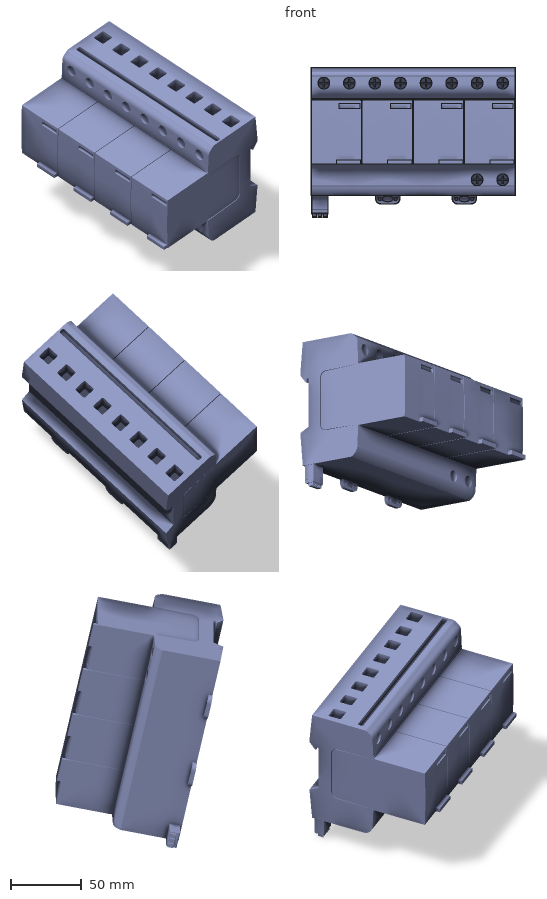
import cadquery as cq


module_count = 4
module_pitch = 36.0
total_width = module_count * module_pitch
housing_height = 90.3
total_depth = 93.29
overall_height = 105.63

back_setback = 2.1
lean_start_top = 67.6
hook_nose_height = 66.2
lean_start_bottom = 24.2
rail_face_depth = 7.2
rail_bottom = 27.8
rail_top = 63.1
hook_tip_start = 4.3
hook_tip_end = 5.2
hook_tip_height = 60.9
hook_inner_depth = 5.6
front_depth = 50.0
front_corner_depth = 49.3
accent_bottom = 68.0
accent_top = 68.5
accent_depth = 0.3
bottom_round_depth = 43.9
bottom_round_height = 6.6
bottom_round_bulge = 1.1
top_round_height = housing_height - 6.1
top_step = (43.8, housing_height)
top_step_end = (44.9, housing_height - 0.6)
top_bevel_start = (45.3, housing_height - 1.0)
top_round_start = (47.4, housing_height - 2.6)
top_round_middle = (48.7, housing_height - 4.1)

module_gap = 0.5
module_bottom = 22.2
module_top = 67.4
module_front_depth = 90.2
module_front_bulge = 0.45
insert_back_depth = 17.7
insert_back_inset = 1.35
insert_front_inset = 0.5
shoulder_depth = 50.25
insert_corner_radius = 4.8
seam_width = 0.7
seam_height = 0.4
seam_depth = 1.0

grip_slot_width = 14.6
grip_slot_height = 3.5
grip_slot_start = 19.8
grip_slot_bottom = 61.3
grip_slot_depth = 2.0
latch_start = 18.0
latch_width = 17.0
latch_height = 3.0

terminals_per_module = 2
terminal_pitch = module_pitch / terminals_per_module
terminal_count = module_count * terminals_per_module
lower_terminals = (terminal_count - 2, terminal_count - 1)
screw_diameter = 8.2
screw_hole_depth = 15.0
upper_screw_height = housing_height - 11.1
lower_screw_height = housing_height - upper_screw_height
screw_slot_width = 1.0
screw_slot_depth = 1.0
screw_long_slot = 8.0
screw_short_slot = 5.6

wire_hole_width = 9.4
wire_hole_length = 9.7
wire_hole_depth = 15.0
wire_hole_center = 17.5
wire_hole_radius = 1.0

label_groove_start = 3.9
label_groove_end = 142.6
label_groove_center = 37.8
label_groove_width = 4.1
label_groove_depth = 5.0
label_groove_radius = 1.0

clip_centers = (1.5 * module_pitch, 3 * module_pitch)
clip_width = 17.4
clip_drop = 6.0
clip_back = back_setback
clip_thickness = 3.0
clip_radius = 4.2
clip_recess_depth = 1.0
clip_eye_width = 7.4
clip_eye_height = 4.0
clip_eye_height_center = -2.4
clip_notch_inner = 4.8
clip_notch_outer = 7.1
clip_notch_outer_low = 6.1
clip_notch_top = -1.3
clip_notch_bottom = -3.6

plug_start = 0.4
plug_width = 11.7
plug_back = 3.6
plug_front = 11.2
plug_bottom = -13.0
plug_taper_start = -10.0
plug_taper = 0.25
plug_chamfer = 0.6
pin_count = 3
pin_pitch = 3.8
pin_width = 2.9
pin_back = 6.4
pin_length = 3.9
pin_notch_width = 1.2
pin_notch_height = 0.9
pin_notch_depth = 0.5
side_mark_back = 4.8
side_mark_length = 1.1
side_mark_bottom = -10.9
side_mark_height = 0.3
side_mark_depth = 0.4
pin_bottom = housing_height - overall_height

overlap = 1.0


def extrude_profile(outline, start, width):
    """Extrude a (depth, height) outline along +X from X = start."""
    plane = cq.Plane(origin=(start + width, 0, 0), xDir=(0, -1, 0), normal=(-1, 0, 0))
    return outline(cq.Workplane(plane)).close().extrude(width)


def block(x, depth, z, width, length, height):
    """Box with its low-X, rear, lower corner at (x, -depth, z)."""
    corner = (x, -depth - length, z)
    return cq.Workplane("XY").box(width, length, height, centered=False).translate(corner)


def housing_outline(wp):
    return (
        wp.moveTo(back_setback, 0)
        .lineTo(bottom_round_depth, 0)
        .sagittaArc((front_corner_depth, bottom_round_height), -bottom_round_bulge)
        .lineTo(front_depth, module_bottom + insert_front_inset)
        .lineTo(front_depth, module_top - insert_front_inset)
        .lineTo(front_depth, accent_bottom)
        .lineTo(front_depth - accent_depth, accent_bottom)
        .lineTo(front_depth - accent_depth, accent_top)
        .lineTo(front_depth, accent_top)
        .lineTo(front_corner_depth, top_round_height)
        .threePointArc(top_round_middle, top_round_start)
        .lineTo(*top_bevel_start)
        .lineTo(*top_step_end)
        .lineTo(*top_step)
        .lineTo(back_setback, housing_height)
        .lineTo(0, lean_start_top)
        .lineTo(0, hook_nose_height)
        .lineTo(hook_tip_start, hook_tip_height)
        .lineTo(hook_tip_end, hook_tip_height)
        .lineTo(hook_inner_depth, rail_top)
        .lineTo(rail_face_depth, rail_top)
        .lineTo(rail_face_depth, rail_bottom)
        .lineTo(0, lean_start_bottom)
    )


def module_outline(wp):
    middle = (module_bottom + module_top) / 2
    return (
        wp.moveTo(insert_back_depth, module_bottom + insert_back_inset)
        .lineTo(shoulder_depth, module_bottom + insert_front_inset)
        .lineTo(shoulder_depth, module_bottom)
        .lineTo(module_front_depth, module_bottom)
        .threePointArc((module_front_depth + module_front_bulge, middle), (module_front_depth, module_top))
        .lineTo(shoulder_depth, module_top)
        .lineTo(shoulder_depth, module_top - insert_front_inset)
        .lineTo(insert_back_depth, module_top - insert_back_inset)
    )


def rounded_module(start, width):
    """Module cross-section with rounded rear corners, extruded along X."""
    body = extrude_profile(module_outline, start, width)
    return body.faces(">Y").edges("|X").fillet(insert_corner_radius)


def module_seam():
    """Shallow gap around the seated part of the first module, on the end face."""
    def outer_outline(wp):
        back = insert_back_depth - seam_width
        inset = insert_back_inset - seam_height
        return (
            wp.moveTo(back, module_bottom + inset)
            .lineTo(front_depth, module_bottom + insert_front_inset)
            .lineTo(front_depth, module_top - insert_front_inset)
            .lineTo(back, module_top - inset)
        )

    outer = extrude_profile(outer_outline, 0, seam_depth)
    outer = outer.faces(">Y").edges("|X").fillet(insert_corner_radius)
    return outer.cut(rounded_module(0, seam_depth))


def grip_slot(x):
    """Shallow finger slot near the top of a module front."""
    rear = module_front_depth - grip_slot_depth
    length = module_front_bulge + grip_slot_depth
    return block(x, rear, grip_slot_bottom, grip_slot_width, length, grip_slot_height)


def latch(x):
    """Small release tab at the foot of a module front."""
    rear = module_front_depth - overlap
    return block(x, rear, module_bottom, latch_width, total_depth - rear, latch_height)


def cut_screw_recess(body, x, z):
    """Cut a round access hole that ends on a screw head with a cross slot."""
    head_plane = cq.Workplane("XZ", origin=(x, screw_hole_depth - front_depth, z))
    hole = head_plane.circle(screw_diameter / 2).extrude(screw_hole_depth)
    long_slot = head_plane.rect(screw_long_slot, screw_slot_width).extrude(-screw_slot_depth)
    short_slot = head_plane.rect(screw_slot_width, screw_short_slot).extrude(-screw_slot_depth)
    return body.cut(hole).cut(long_slot).cut(short_slot)


def top_pocket(x, depth, width, length, radius, pocket_depth):
    """Rounded rectangular pocket sunk into the top of the housing."""
    plane = cq.Workplane("XY", origin=(x, -depth, housing_height))
    return plane.rect(width, length).extrude(-pocket_depth).edges("|Z").fillet(radius)


def rail_clip(x):
    """Foot of the rail clip below the housing, with an eye and two side notches sunk in."""
    start = x - clip_width / 2
    clip = block(start, clip_back, -clip_drop, clip_width, clip_thickness, clip_drop + overlap)
    clip = clip.faces("<Z").edges("|Y").fillet(clip_radius)
    front = cq.Workplane("XZ", origin=(x, -clip_back - clip_thickness, 0))
    eye = front.center(0, clip_eye_height_center).ellipse(clip_eye_width / 2, clip_eye_height / 2)
    clip = clip.cut(eye.extrude(-clip_recess_depth))
    notch_corners = [
        (clip_notch_inner, clip_notch_top),
        (clip_notch_outer, clip_notch_top),
        (clip_notch_outer_low, clip_notch_bottom),
        (clip_notch_inner, clip_notch_bottom),
    ]
    for side in (-1, 1):
        notch = front.polyline([(side * u, v) for u, v in notch_corners]).close()
        clip = clip.cut(notch.extrude(-clip_recess_depth))
    return clip


def connector():
    """Plug below the housing with a row of notched pins."""
    def plug_outline(wp):
        return (
            wp.moveTo(plug_back, overlap)
            .lineTo(plug_front, overlap)
            .lineTo(plug_front, plug_taper_start)
            .lineTo(plug_front - plug_taper, plug_bottom + plug_chamfer)
            .lineTo(plug_front - plug_taper - plug_chamfer, plug_bottom)
            .lineTo(plug_back + plug_chamfer, plug_bottom)
            .lineTo(plug_back, plug_bottom + plug_chamfer)
        )

    plug = extrude_profile(plug_outline, plug_start, plug_width)
    plug_center = plug_start + plug_width / 2
    for i in range(pin_count):
        center = plug_center + (i - (pin_count - 1) / 2) * pin_pitch
        pin_start = center - pin_width / 2
        height = plug_bottom + overlap - pin_bottom
        plug = plug.union(block(pin_start, pin_back, pin_bottom, pin_width, pin_length, height))
        notch_back = pin_back + pin_length - pin_notch_depth
        notch_start = center - pin_notch_width / 2
        plug = plug.cut(
            block(notch_start, notch_back, pin_bottom, pin_notch_width, pin_notch_depth, pin_notch_height)
        )
    side_mark = block(
        plug_start, side_mark_back, side_mark_bottom, side_mark_depth, side_mark_length, side_mark_height
    )
    return plug.cut(side_mark)


result = extrude_profile(housing_outline, 0, total_width)
result = result.union(rounded_module(0, total_width))
result = result.cut(module_seam())

for i in range(module_count):
    module_start = i * module_pitch
    result = result.cut(rounded_module(module_start + module_pitch - module_gap, module_gap))
    result = result.cut(grip_slot(module_start + grip_slot_start))
    result = result.union(latch(module_start + latch_start))

for i in range(terminal_count):
    terminal_x = (i + 0.5) * terminal_pitch
    result = cut_screw_recess(result, terminal_x, upper_screw_height)
    if i in lower_terminals:
        result = cut_screw_recess(result, terminal_x, lower_screw_height)
    result = result.cut(
        top_pocket(
            terminal_x,
            wire_hole_center,
            wire_hole_width,
            wire_hole_length,
            wire_hole_radius,
            wire_hole_depth,
        )
    )

result = result.cut(
    top_pocket(
        (label_groove_start + label_groove_end) / 2,
        label_groove_center,
        label_groove_end - label_groove_start,
        label_groove_width,
        label_groove_radius,
        label_groove_depth,
    )
)

for clip_x in clip_centers:
    result = result.union(rail_clip(clip_x))

result = result.union(connector())